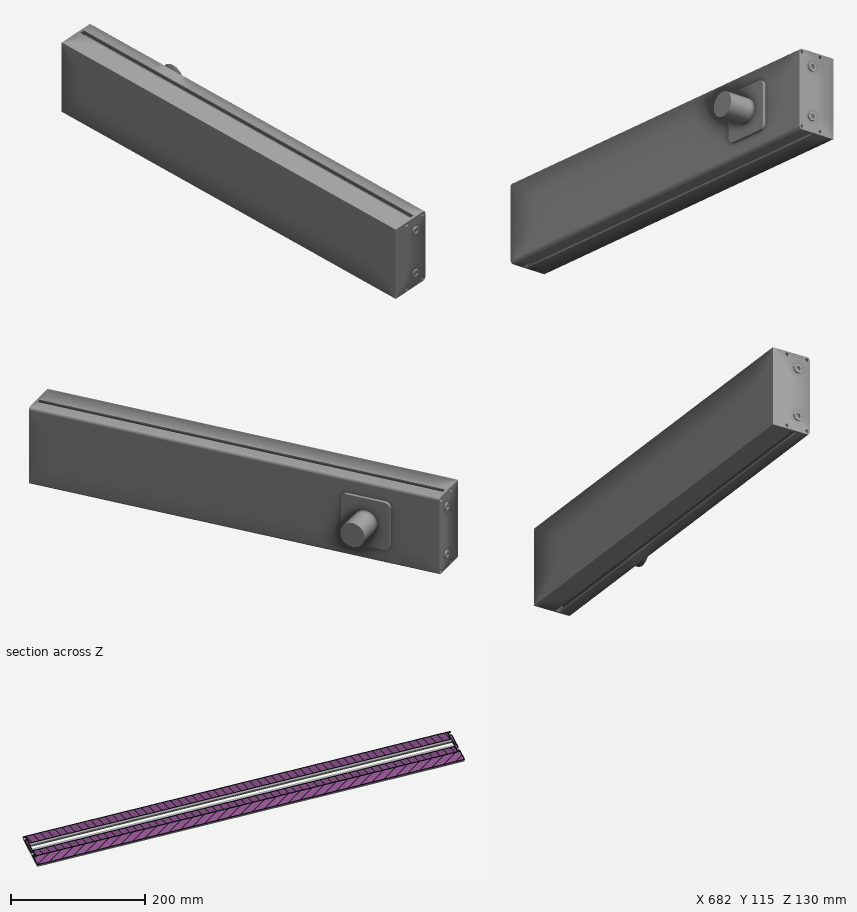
import cadquery as cq

length = 676.0
height = 130.0
cover_depth = 20.0
housing_depth = 45.0
housing_back = cover_depth + housing_depth
mid_depth = cover_depth + housing_depth / 2
back_corner_radius = 5.0

cap_thickness = 4.0
screw_spacing = 80.0
screw_head_diameter = 14.0
screw_head_height = 3.0
hex_across_corners = 8.2
hex_depth = screw_head_height
corner_hole_inset = 5.0
corner_hole_diameter = 4.5
countersink_diameter = 6.5
countersink_angle = 90.0

slot_width = 8.0
slot_lip = 4.0
slot_inner_width = 16.0
slot_depth = 10.0
slot_center = 40.0

spigot_x = -218.0
flange_size = 80.0
flange_thickness = 5.0
flange_corner_radius = 9.0
pipe_diameter = 40.0
pipe_length = 45.0


def housing_block(x_start, block_length):
    """Length of the rear section, rounded along its two back edges."""
    block = cq.Workplane("XY").box(block_length, housing_depth, height, centered=(False, True, True))
    block = block.edges("|X and >Y").fillet(back_corner_radius)
    return block.translate((x_start, mid_depth, 0))


def make_cover():
    """Plain slab across the whole front."""
    return cq.Workplane("XY").box(length, cover_depth, height).translate((0, cover_depth / 2, 0))


def make_housing():
    """Profile between the end caps, with a T-slot along its top and bottom."""
    housing_length = length - 2 * cap_thickness
    housing = housing_block(-housing_length / 2, housing_length)
    inner_height = slot_depth - slot_lip
    opening = cq.Workplane("XY").box(housing_length, slot_width, slot_depth)
    undercut = cq.Workplane("XY").box(housing_length, slot_inner_width, inner_height)
    for side in (-1, 1):
        opening_z = side * (height - slot_depth) / 2
        undercut_z = side * (height / 2 - slot_lip - inner_height / 2)
        housing = housing.cut(opening.translate((0, slot_center, opening_z)))
        housing = housing.cut(undercut.translate((0, slot_center, undercut_z)))
    return housing


def make_left_cap():
    """End cap with two socket screw heads and a countersunk hole in each corner."""
    outer_x = -length / 2
    cap = housing_block(outer_x, cap_thickness)
    outer_face = cq.Workplane("YZ", origin=(outer_x, mid_depth, 0))
    head_face = outer_face.workplane(offset=-screw_head_height).transformed(rotate=(0, 0, 90))

    screw_places = [(0, -screw_spacing / 2), (0, screw_spacing / 2)]
    heads = outer_face.pushPoints(screw_places).circle(screw_head_diameter / 2).extrude(-screw_head_height)
    sockets = head_face.rarray(screw_spacing, 1, 2, 1).polygon(6, hex_across_corners).extrude(hex_depth)

    hole_span_y = housing_depth - 2 * corner_hole_inset
    hole_span_z = height - 2 * corner_hole_inset
    cap = (
        cap.faces("<X")
        .workplane(origin=(outer_x, mid_depth, 0))
        .rect(hole_span_y, hole_span_z, forConstruction=True)
        .vertices()
        .cskHole(corner_hole_diameter, countersink_diameter, countersink_angle)
    )
    return cap.union(heads).cut(sockets)


def make_spigot():
    """Square flange on the back of the housing with a round pipe behind it."""
    back_plane = cq.Workplane("XZ", origin=(spigot_x, housing_back, 0))
    flange = back_plane.rect(flange_size, flange_size).extrude(-flange_thickness)
    flange = flange.edges("|Y").fillet(flange_corner_radius)
    pipe = back_plane.workplane(offset=-flange_thickness).circle(pipe_diameter / 2).extrude(-pipe_length)
    return flange.union(pipe)


cover = make_cover()
housing = make_housing()
left_cap = make_left_cap()
right_cap = left_cap.mirror("YZ")
spigot = make_spigot()

result = cq.Compound.makeCompound(
    [cover.val(), housing.val(), left_cap.val(), right_cap.val(), spigot.val()]
)